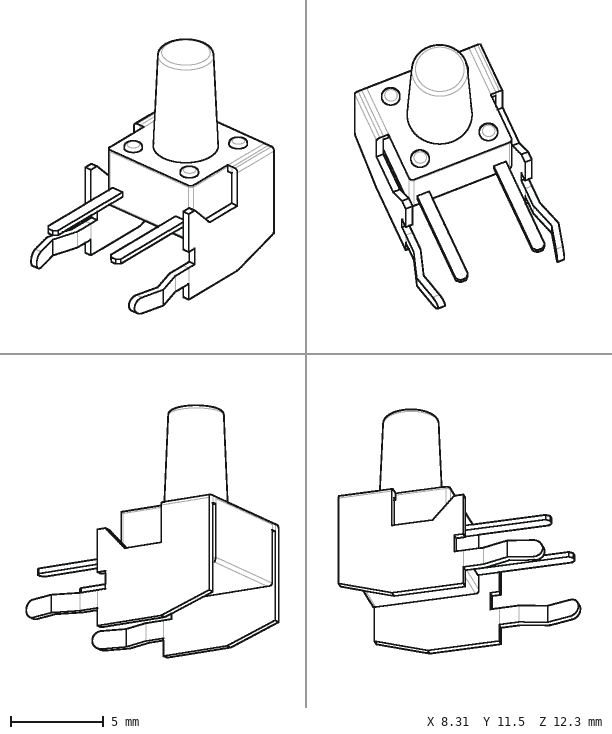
import cadquery as cq


body_width = 6.0
body_bottom = 2.82
body_top = 6.4
cover_thickness = 0.1
body_rounding = 0.2
body_back = body_width / 2
body_front = -body_width / 2

button_top = 12.3
button_base_diameter = 3.5
button_top_diameter = 3.0
button_rounding = 0.2
rivet_diameter = 1.0
rivet_height = 0.21
rivet_rounding = 0.16
rivet_spacing = 4.01

sheet_thickness = 0.4
bracket_width = 7.4
bend_radius = 0.2
wall_front = -4.0
wall_back_bottom = 1.0
notch_bottom = 4.1
notch_floor_front = -2.28
post_back = -3.49
post_top = 5.4
slot_bottom = 2.0
slot_top = 3.0

leg_bottom = 1.0
leg_top = slot_bottom
leg_bend = -5.1
leg_apex = -6.59
leg_tip = -8.45
leg_spread = 8.31

pin_width = 0.71
pin_bottom = 3.8
pin_thickness = 0.3
pin_spacing = 4.5
overall_depth = 11.5
pin_tip = body_back - overall_depth
pin_chamfer = 0.2


def make_body():
    """Molded body with a thin cover sheet on top; the back corners stay sharp."""
    cover_bottom = body_top - cover_thickness
    molding = (
        cq.Workplane("XY")
        .workplane(offset=body_bottom)
        .rect(body_width, body_width)
        .extrude(cover_bottom - body_bottom)
        .edges("|Z and <Y")
        .fillet(body_rounding)
        .faces("<Z")
        .edges()
        .fillet(body_rounding)
    )
    cover = (
        cq.Workplane("XY")
        .workplane(offset=cover_bottom)
        .rect(body_width, body_width)
        .extrude(cover_thickness)
        .edges("|Z and <Y")
        .fillet(body_rounding)
    )
    return molding.union(cover, clean=False)


def make_button():
    """Tapered round button with a rounded top rim."""
    return (
        cq.Workplane("XY")
        .workplane(offset=body_top)
        .circle(button_base_diameter / 2)
        .workplane(offset=button_top - body_top)
        .circle(button_top_diameter / 2)
        .loft(ruled=True)
        .faces(">Z")
        .edges()
        .fillet(button_rounding)
    )


def make_rivets():
    """Four rounded rivet heads around the button."""
    return (
        cq.Workplane("XY")
        .workplane(offset=body_top)
        .rect(rivet_spacing, rivet_spacing, forConstruction=True)
        .vertices()
        .circle(rivet_diameter / 2)
        .extrude(rivet_height)
        .faces(">Z")
        .edges()
        .fillet(rivet_rounding)
    )


def make_bracket_side():
    """Bracket wall on the +X side with the strip that joins it to the body."""
    outer_face = bracket_width / 2
    wall = (
        cq.Workplane("YZ")
        .workplane(offset=outer_face - sheet_thickness)
        .moveTo(body_back, body_top)
        .lineTo(body_back, wall_back_bottom)
        .lineTo(0, 0)
        .lineTo(wall_front, 0)
        .lineTo(wall_front, slot_bottom)
        .lineTo(post_back, slot_bottom)
        .lineTo(post_back, slot_top)
        .lineTo(wall_front, slot_top)
        .lineTo(wall_front, post_top)
        .lineTo(post_back, post_top)
        .lineTo(notch_floor_front, notch_bottom)
        .lineTo(0, notch_bottom)
        .lineTo(0, body_top)
        .close()
        .extrude(sheet_thickness)
        .edges("|Y and >Z and >X")
        .fillet(bend_radius)
    )
    strip_width = outer_face - sheet_thickness - body_width / 2
    strip_length = body_back
    strip = cq.Workplane("XY").box(strip_width, strip_length, sheet_thickness, centered=False)
    strip = strip.translate((body_width / 2, 0, body_top - sheet_thickness))
    return wall.union(strip, clean=False)


def make_leg():
    """Kinked leg of the +X wall: bent outward in plan and rounded at its tip."""
    outer = bracket_width / 2
    inner = outer - sheet_thickness
    apex_outer = leg_spread / 2
    apex_inner = apex_outer - sheet_thickness
    kinked_strip = (
        cq.Workplane("XY")
        .workplane(offset=leg_bottom)
        .polyline([
            (outer, wall_front),
            (outer, leg_bend),
            (apex_outer, leg_apex),
            (outer, leg_tip),
            (inner, leg_tip),
            (apex_inner, leg_apex),
            (inner, leg_bend),
            (inner, wall_front),
        ])
        .close()
        .extrude(leg_top - leg_bottom)
    )
    tip_radius = (leg_top - leg_bottom) / 2
    rounded_profile = (
        cq.Workplane("YZ")
        .moveTo(wall_front, leg_bottom)
        .lineTo(leg_tip + tip_radius, leg_bottom)
        .threePointArc((leg_tip, leg_bottom + tip_radius), (leg_tip + tip_radius, leg_top))
        .lineTo(wall_front, leg_top)
        .close()
        .extrude(leg_spread)
    )
    return kinked_strip.intersect(rounded_profile)


def make_pin():
    """Flat solder pin on the +X side with a chamfered tip."""
    length = body_front - pin_tip
    return (
        cq.Workplane("XY")
        .box(pin_width, length, pin_thickness, centered=(True, False, False))
        .edges("|Z and <Y")
        .chamfer(pin_chamfer)
        .translate((pin_spacing / 2, pin_tip, pin_bottom))
    )


result = make_body()
for centered_part in (make_button(), make_rivets()):
    result = result.union(centered_part, clean=False)
for side_part in (make_bracket_side(), make_leg(), make_pin()):
    result = result.union(side_part, clean=False)
    result = result.union(side_part.mirror("YZ"), clean=False)